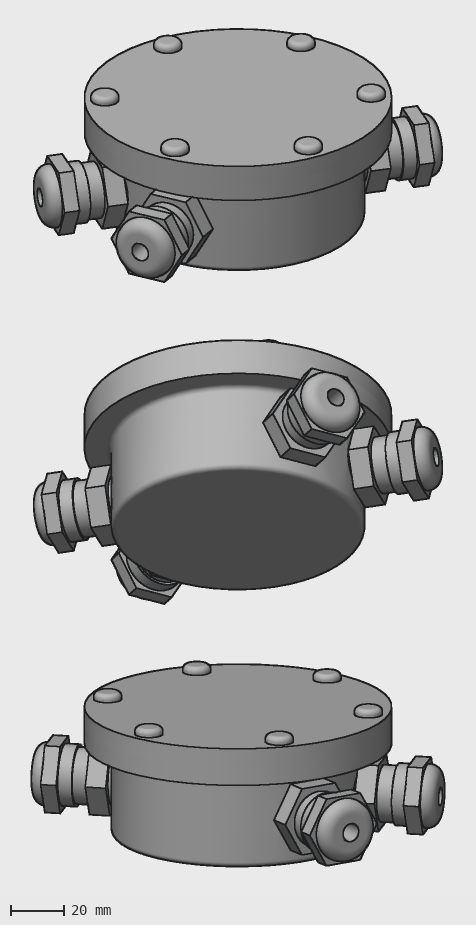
import cadquery as cq
import math

body_diameter = 95.0
flange_diameter = 115.0
flange_bottom = 35.0
lid_bottom = 42.1
lid_top = 49.2
body_bottom_fillet = 2.0
flange_root_fillet = 2.0

screw_count = 6
screw_circle_radius = 49.9
first_screw_angle = 90
screw_head_diameter = 10.5
screw_head_height = 3.0
screw_head_fillet = 2.0

gland_angles = (45, 90, 225, 270)
gland_height = 18.7
base_hex_across_flats = 25.7
nut_across_flats = 26.0
neck_diameter = 21.5
collar_diameter = 23.5
dome_diameter = 24.2
cable_hole_diameter = 7.0
neck_start = 42.6
base_hex_start = body_diameter / 2
base_hex_end = 55.3
neck_end = 61.2
collar_end = 66.5
nut_end = 72.3
gland_end = 77.5
dome_fillet = 4.6
cable_hole_start = collar_end


def make_housing():
    """Body, flange and lid stacked on the Z axis."""
    flange = (
        cq.Workplane("XY")
        .workplane(offset=flange_bottom)
        .circle(flange_diameter / 2)
        .extrude(lid_bottom - flange_bottom)
    )
    body = flange.faces("<Z").workplane().circle(body_diameter / 2).extrude(flange_bottom)
    body = body.faces("<Z").edges().fillet(body_bottom_fillet)
    root_edge = cq.selectors.RadiusNthSelector(0)
    body = body.faces("<Z[-2]").edges(root_edge).fillet(flange_root_fillet)
    lid = (
        cq.Workplane("XY")
        .workplane(offset=lid_bottom)
        .circle(flange_diameter / 2)
        .extrude(lid_top - lid_bottom)
    )
    return body.union(lid, clean=False)


def make_screw_heads():
    """Ring of rounded screw heads on the lid."""
    return (
        cq.Workplane("XY")
        .workplane(offset=lid_top)
        .polarArray(screw_circle_radius, first_screw_angle, 360, screw_count)
        .circle(screw_head_diameter / 2)
        .extrude(screw_head_height)
        .faces(">Z")
        .edges()
        .fillet(screw_head_fillet)
    )


def gland_plane(distance):
    """Workplane facing +X, at a distance from the housing axis on the gland axis."""
    origin = (distance, 0, gland_height)
    return cq.Workplane(cq.Plane(origin=origin, xDir=(0, 1, 0), normal=(1, 0, 0)))


def make_hex(start, end, across_flats):
    """Hexagonal stage with flats on top and bottom."""
    across_corners = across_flats / math.cos(math.radians(30))
    return gland_plane(start).polygon(6, across_corners).extrude(end - start)


def make_round(start, end, diameter):
    return gland_plane(start).circle(diameter / 2).extrude(end - start)


def make_gland():
    """Cable gland along +X: base hexagon, neck, collar, nut and domed end."""
    dome = make_round(collar_end, gland_end, dome_diameter)
    dome = dome.faces(">X").edges().fillet(dome_fillet)
    gland = (
        make_hex(base_hex_start, base_hex_end, base_hex_across_flats)
        .union(make_round(neck_start, neck_end, neck_diameter))
        .union(make_round(neck_end, collar_end, collar_diameter))
        .union(make_hex(collar_end, nut_end, nut_across_flats))
        .union(dome)
    )
    return gland.cut(make_round(cable_hole_start, gland_end, cable_hole_diameter))


result = make_housing().union(make_screw_heads(), clean=False)
gland = make_gland()
for angle in gland_angles:
    result = result.union(gland.rotate((0, 0, 0), (0, 0, 1), angle), clean=False)